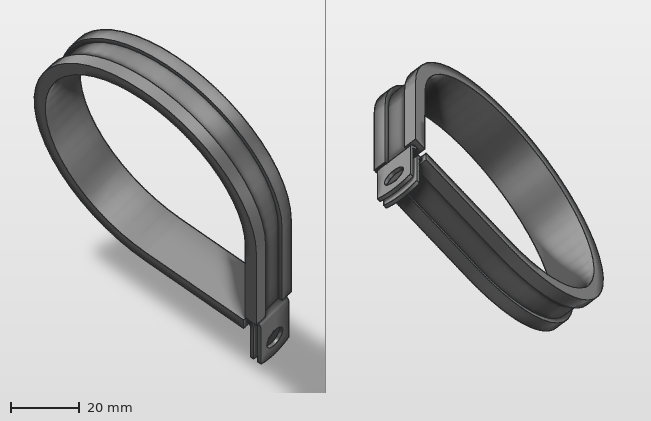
import cadquery as cq
import math

cushion_width = 15.8
outer_radius = 42.3
cushion_thickness = 4.2
upright_leg_end_z = -36.4
flat_leg_end_x = 37.5

groove_width = 7.5
groove_depth = 1.5
strap_width = 12.6
strap_thickness = 1.2
strap_outer = outer_radius - groove_depth
strap_inner = strap_outer - strap_thickness

tab_bottom_z = -58.7
tab_tip_rise = 1.5
near_tab_outer_x = 39.9
far_tab_outer_x = 42.7
near_bend_inner_radius = 1.0
near_bend_outer_radius = near_bend_inner_radius + strap_thickness
far_bend_radius = 2.5
far_tab_straight = 0.2
hole_diameter = 7.2
hole_z = tab_bottom_z + 8.1


def extrude_centered(profile, width):
    """Extrude an XZ profile equally to both sides of the XZ plane."""
    return profile.extrude(width / 2, both=True)


def loop_band(outer, inner, width):
    """Three-quarter ring with a tangent upright leg and a tangent flat leg."""
    diagonal = math.sqrt(0.5)
    profile = (
        cq.Workplane("XZ")
        .moveTo(outer, upright_leg_end_z)
        .lineTo(outer, 0)
        .threePointArc((-outer * diagonal, outer * diagonal), (0, -outer))
        .lineTo(flat_leg_end_x, -outer)
        .lineTo(flat_leg_end_x, -inner)
        .lineTo(0, -inner)
        .threePointArc((-inner * diagonal, inner * diagonal), (inner, 0))
        .lineTo(inner, upright_leg_end_z)
        .close()
    )
    return extrude_centered(profile, width)


def cushion():
    """Loop with a central groove in its outer face."""
    body = loop_band(outer_radius, outer_radius - cushion_thickness, cushion_width)
    groove = loop_band(outer_radius, strap_outer, groove_width)
    return body.cut(groove)


def near_tab():
    """Tab leaving the flat leg and bending straight down."""
    inner_x = near_tab_outer_x - strap_thickness
    profile = (
        cq.Workplane("XZ")
        .moveTo(flat_leg_end_x, -strap_inner)
        .lineTo(near_tab_outer_x - near_bend_outer_radius, -strap_inner)
        .radiusArc((near_tab_outer_x, -strap_inner - near_bend_outer_radius), near_bend_outer_radius)
        .lineTo(near_tab_outer_x, tab_bottom_z)
        .lineTo(inner_x, tab_bottom_z)
        .lineTo(inner_x, -strap_outer - near_bend_inner_radius)
        .radiusArc((inner_x - near_bend_inner_radius, -strap_outer), -near_bend_inner_radius)
        .lineTo(flat_leg_end_x, -strap_outer)
        .close()
    )
    return extrude_centered(profile, strap_width)


def far_tab():
    """Tab leaving the upright leg and stepping outwards at 45 degrees."""
    inner_x = far_tab_outer_x - strap_thickness
    step = far_tab_outer_x - strap_outer
    miter = strap_thickness * math.tan(math.radians(22.5))
    step_top_z = upright_leg_end_z - far_tab_straight
    step_bottom_z = step_top_z - miter - step
    profile = (
        cq.Workplane("XZ")
        .moveTo(strap_inner, upright_leg_end_z)
        .lineTo(strap_inner, step_top_z - miter)
        .lineTo(inner_x, step_bottom_z)
        .lineTo(inner_x, tab_bottom_z)
        .lineTo(far_tab_outer_x, tab_bottom_z)
        .lineTo(far_tab_outer_x, step_bottom_z + miter)
        .lineTo(strap_outer, step_top_z)
        .lineTo(strap_outer, upright_leg_end_z)
        .close()
    )
    tab = extrude_centered(profile, strap_width)
    corner = cq.selectors.NearestToPointSelector((far_tab_outer_x, 0, step_bottom_z + miter))
    return tab.edges(corner).fillet(far_bend_radius)


def tab_outline():
    """Block running along X that shapes both tabs, with rounded tip and hole."""
    half_width = strap_width / 2
    corner_z = tab_bottom_z + tab_tip_rise
    block = (
        cq.Workplane("YZ")
        .moveTo(-half_width, 0)
        .lineTo(-half_width, corner_z)
        .threePointArc((0, tab_bottom_z), (half_width, corner_z))
        .lineTo(half_width, 0)
        .close()
        .extrude(far_tab_outer_x)
    )
    hole = cq.Workplane("YZ").center(0, hole_z).circle(hole_diameter / 2).extrude(far_tab_outer_x)
    return block.cut(hole)


strap = loop_band(strap_outer, strap_inner, strap_width)
tabs = near_tab().union(far_tab()).intersect(tab_outline())
result = cushion().union(strap).union(tabs)